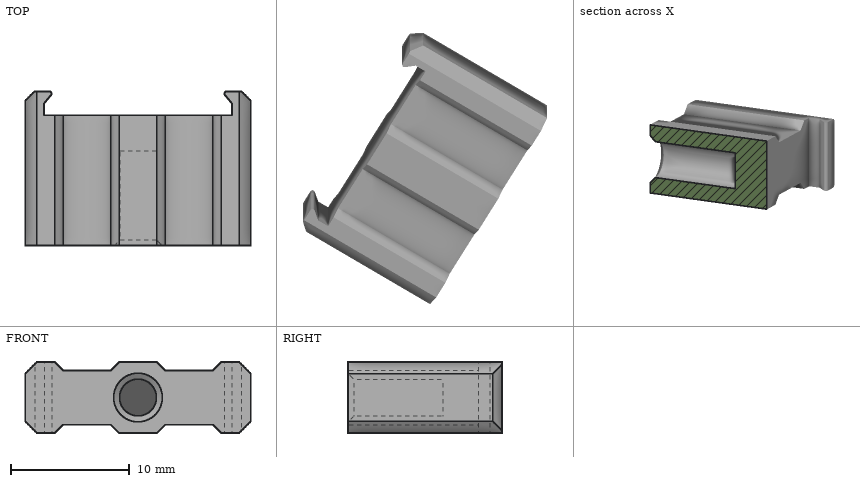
import cadquery as cq
import math

width = 19.0
depth = 13.0
height = 6.0

corner_chamfer = 1.0
groove_outer_edge_x = 7.0
groove_floor_width = 4.0
groove_flank_length = 1.0

recess_depth = 2.0
recess_half_width = 7.9
hook_length = 1.03
hook_sharp_reach = 0.85
hook_tip_radius = 0.2
rear_corner_chamfer = 0.8

hole_diameter = 3.1
hole_depth = 8.0
countersink = 0.5

half_height = height / 2
groove_depth = groove_flank_length * math.sin(math.radians(45))


def mirrored(solid, plane):
    """Return the solid joined with its mirror image."""
    return solid.union(solid.mirror(plane))


def make_body():
    """Chamfered bar running along +Y from the front face at Y = 0."""
    body = cq.Workplane("XY").box(width, depth, height, centered=(True, False, True))
    body = body.edges("|Y").chamfer(corner_chamfer)
    return body.edges("|Z and >Y").chamfer(rear_corner_chamfer)


def make_grooves():
    """Four trapezoidal grooves with 45 degree flanks, two above and two below."""
    floor_z = half_height - groove_depth
    floor_outer_x = groove_outer_edge_x - groove_depth
    floor_inner_x = floor_outer_x - groove_floor_width
    groove = (
        cq.Workplane("XZ")
        .moveTo(floor_inner_x, floor_z)
        .lineTo(floor_outer_x, floor_z)
        .lineTo(groove_outer_edge_x, half_height)
        .lineTo(floor_inner_x - groove_depth, half_height)
        .close()
        .extrude(-depth)
    )
    return mirrored(mirrored(groove, "YZ"), "XY")


def make_rear_recess():
    """Recess across the rear face, cut to full width with no hooks."""
    return cq.Workplane("XY").box(
        2 * recess_half_width, recess_depth, height, centered=(True, False, True)
    ).translate((0, depth - recess_depth, 0))


def make_hooks():
    """Ramped hooks with rounded tips that narrow the mouth of the recess."""
    sharp_tip_x = recess_half_width - hook_sharp_reach
    ramp_start_y = depth - hook_length
    hook = (
        cq.Workplane("XY")
        .workplane(offset=-half_height)
        .moveTo(recess_half_width, ramp_start_y)
        .lineTo(sharp_tip_x, depth)
        .lineTo(recess_half_width, depth)
        .close()
        .extrude(height)
    )
    hook = hook.edges("|Z and <X").fillet(hook_tip_radius)
    return mirrored(hook, "YZ")


def make_hole():
    """Flat-bottomed hole along Y with a 45 degree countersink at the front face."""
    radius = hole_diameter / 2
    return (
        cq.Workplane("XY")
        .moveTo(0, 0)
        .lineTo(radius + countersink, 0)
        .lineTo(radius, countersink)
        .lineTo(radius, hole_depth)
        .lineTo(0, hole_depth)
        .close()
        .revolve(360, (0, 0, 0), (0, 1, 0))
    )


result = (
    make_body()
    .cut(make_grooves())
    .cut(make_rear_recess())
    .union(make_hooks())
    .cut(make_hole())
)